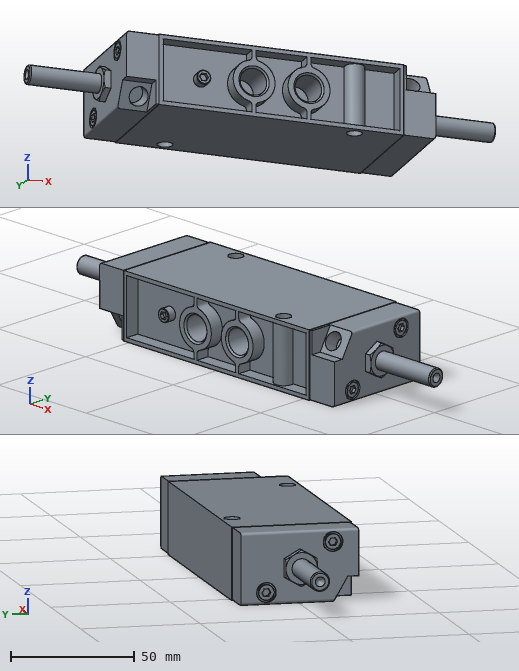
import cadquery as cq
import math

BODY_LENGTH = 106.3
BODY_WIDTH = 50.0
HEIGHT = 30.3
HALF_BODY = BODY_LENGTH / 2
FRONT_Y = -BODY_WIDTH / 2

RECESS_RIM = 1.8
RECESS_DEPTH = 6.5
RECESS_LENGTH = BODY_LENGTH - 2 * RECESS_RIM
RECESS_HEIGHT = HEIGHT - 2 * RECESS_RIM
RECESS_FLOOR_Y = FRONT_Y + RECESS_DEPTH

PORT_X = 12.0
PORT_RING_DIAMETER = 18.2
PORT_BORE_DIAMETER = 11.5
PORT_BORE_DEPTH = 16.2
PORT_CHAMFER = 0.8
WEB_WIDTH = 1.8
WEB_FILLET = 1.8

MOUNT_X = 33.5
MOUNT_Y = 20.0
MOUNT_DIAMETER = 6.5
PILLAR_DIAMETER = 8.5

BUTTON_X = -32.7
BUTTON_DIAMETER = 6.0
BUTTON_LENGTH = 4.0
BUTTON_CHAMFER = 0.3

SOCKET_ACROSS_CORNERS = 3.6
SOCKET_DEPTH = 1.6

CAP_LENGTH = 14.0
CAP_WIDTH = 49.3
CAP_HEIGHT = 29.9
CAP_FILLET = 1.2
CAP_END_X = HALF_BODY + CAP_LENGTH

NOTCH_FLANGE = 1.2
NOTCH_TOP_Z = -4.6
NOTCH_TOP_Y = -20.0
NOTCH_ANGLE = 30.0
PILOT_X = -59.0
PILOT_DIAMETER = 8.0
PILOT_DEPTH = 7.3

SCREW_Y = 14.0
SCREW_Z = 9.9
SCREW_RECESS_DIAMETER = 8.0
SCREW_HEAD_DIAMETER = 6.5
SCREW_RECESS_DEPTH = 1.0

NUT_ACROSS_FLATS = 13.1
NUT_THICKNESS = 3.0
NUT_CHAMFER_ANGLE = 30.0
OVERALL_LENGTH = 202.0
ROD_DIAMETER = 8.0
ROD_CHAMFER = 0.5
ROD_CENTRE_DIAMETER = 4.0
ROD_CENTRE_DEPTH = 2.0


def cylinder_along_y(diameter, x, start_y, length):
    """Cylinder on the level of the part axis, running toward +Y."""
    disc = cq.Workplane("XZ", origin=(x, start_y, 0)).circle(diameter / 2)
    return disc.extrude(-length)


def make_socket(face, direction):
    """Hexagonal socket, cut along (+1) or against (-1) the normal of the face plane."""
    return face.polygon(6, SOCKET_ACROSS_CORNERS).extrude(direction * SOCKET_DEPTH)


def make_recess():
    """Space cut from the front face, with rings, webs and pillar left standing."""
    recess = cq.Workplane("XY").box(RECESS_LENGTH, RECESS_DEPTH, RECESS_HEIGHT)
    recess = recess.translate((0, FRONT_Y + RECESS_DEPTH / 2, 0))
    pillar = cq.Workplane("XY").center(MOUNT_X, -MOUNT_Y).circle(PILLAR_DIAMETER / 2)
    recess = recess.cut(pillar.extrude(HEIGHT / 2, both=True))
    for x in (-PORT_X, PORT_X):
        web = cq.Workplane("XY").box(WEB_WIDTH, RECESS_DEPTH, HEIGHT)
        web = web.translate((x, FRONT_Y + RECESS_DEPTH / 2, 0))
        ring = cylinder_along_y(PORT_RING_DIAMETER, x, FRONT_Y, RECESS_DEPTH)
        recess = recess.cut(round_web_joints(ring.union(web)))
    return recess


def round_web_joints(ring_and_web):
    """Fillet the four inside corners where a web meets its ring."""
    joint_z = math.sqrt(PORT_RING_DIAMETER ** 2 - WEB_WIDTH ** 2) / 2
    margin = 0.2
    reach = joint_z + margin
    joints = cq.selectors.BoxSelector((-BODY_LENGTH, FRONT_Y + margin, -reach),
                                      (BODY_LENGTH, RECESS_FLOOR_Y - margin, reach))
    return ring_and_web.edges("|Y").edges(joints).fillet(WEB_FILLET)


def make_body():
    body = cq.Workplane("XY").box(BODY_LENGTH, BODY_WIDTH, HEIGHT).cut(make_recess())
    for x in (-PORT_X, PORT_X):
        body = body.cut(cylinder_along_y(PORT_BORE_DIAMETER, x, FRONT_Y, PORT_BORE_DEPTH))
        bore_radius = PORT_BORE_DIAMETER / 2
        mouth = cq.Solid.makeCone(bore_radius + PORT_CHAMFER, bore_radius, PORT_CHAMFER,
                                  pnt=cq.Vector(x, FRONT_Y, 0), dir=cq.Vector(0, 1, 0))
        body = body.cut(cq.Workplane(mouth))
    holes = cq.Workplane("XY").pushPoints([(MOUNT_X, -MOUNT_Y), (-MOUNT_X, MOUNT_Y)])
    body = body.cut(holes.circle(MOUNT_DIAMETER / 2).extrude(HEIGHT / 2, both=True))
    return body.union(make_button())


def make_button():
    tip_y = RECESS_FLOOR_Y - BUTTON_LENGTH
    button = cylinder_along_y(BUTTON_DIAMETER, BUTTON_X, tip_y, BUTTON_LENGTH)
    button = button.faces("<Y").chamfer(BUTTON_CHAMFER)
    return button.cut(make_socket(cq.Workplane("XZ", origin=(BUTTON_X, tip_y, 0)), -1))


def make_notch_and_pilot():
    """Sloped notch at the lower front corner of the left cap, with its pilot port."""
    bottom = -CAP_HEIGHT / 2
    slope_height = NOTCH_TOP_Z - bottom
    slope_width = slope_height * math.tan(math.radians(NOTCH_ANGLE))
    profile = [
        (FRONT_Y, NOTCH_TOP_Z),
        (NOTCH_TOP_Y, NOTCH_TOP_Z),
        (NOTCH_TOP_Y + slope_width, bottom),
        (FRONT_Y, bottom),
    ]
    notch = cq.Workplane("YZ", origin=(-CAP_END_X, 0, 0)).polyline(profile).close()
    notch = notch.extrude(CAP_LENGTH - NOTCH_FLANGE)
    slope_middle = (PILOT_X, NOTCH_TOP_Y + slope_width / 2, NOTCH_TOP_Z - slope_height / 2)
    angle = math.radians(NOTCH_ANGLE)
    inward = (0, math.cos(angle), math.sin(angle))
    slope = cq.Workplane(cq.Plane(slope_middle, xDir=(1, 0, 0), normal=inward))
    pilot = slope.circle(PILOT_DIAMETER / 2).extrude(PILOT_DEPTH)
    return notch.union(pilot)


def make_screw_space(y, z):
    """Ring-shaped gap around a flush screw head, and the socket in the head."""
    face = cq.Workplane("YZ", origin=(-CAP_END_X, y, z))
    gap = face.circle(SCREW_RECESS_DIAMETER / 2).circle(SCREW_HEAD_DIAMETER / 2)
    gap = gap.extrude(SCREW_RECESS_DEPTH)
    return gap.union(make_socket(face, 1))


def make_nut():
    """Hexagonal nut with corners up and down and its outer corners turned off."""
    corner_diameter = NUT_ACROSS_FLATS / math.cos(math.pi / 6)
    nut = cq.Workplane("YZ", origin=(-CAP_END_X, 0, 0)).polygon(6, corner_diameter)
    nut = nut.extrude(-NUT_THICKNESS).rotate((0, 0, 0), (1, 0, 0), 90)
    face_radius = NUT_ACROSS_FLATS / 2
    cone_radius = face_radius + NUT_THICKNESS / math.tan(math.radians(NUT_CHAMFER_ANGLE))
    cone = cq.Workplane("YZ", origin=(-CAP_END_X - NUT_THICKNESS, 0, 0)).circle(face_radius)
    cone = cone.workplane(offset=NUT_THICKNESS).circle(cone_radius).loft()
    return nut.intersect(cone)


def make_rod():
    """Rod with a chamfered tip and a conical centre hole."""
    tip_x = -OVERALL_LENGTH / 2
    rod = cq.Workplane("YZ", origin=(tip_x, 0, 0)).circle(ROD_DIAMETER / 2)
    rod = rod.extrude(OVERALL_LENGTH / 2 - CAP_END_X).faces("<X").chamfer(ROD_CHAMFER)
    cone = cq.Solid.makeCone(ROD_CENTRE_DIAMETER / 2, 0, ROD_CENTRE_DEPTH,
                             pnt=cq.Vector(tip_x, 0, 0), dir=cq.Vector(1, 0, 0))
    return rod.cut(cq.Workplane(cone))


def make_left_end():
    """Cap with its notch and screws, together with the nut and rod."""
    cap = cq.Workplane("XY").box(CAP_LENGTH, CAP_WIDTH, CAP_HEIGHT)
    cap = cap.translate((-HALF_BODY - CAP_LENGTH / 2, 0, 0))
    cap = cap.faces("<X").edges("|Y").fillet(CAP_FILLET)
    cap = cap.cut(make_notch_and_pilot())
    for side in (-1, 1):
        cap = cap.cut(make_screw_space(side * SCREW_Y, -side * SCREW_Z))
    return cap.union(make_nut()).union(make_rod())


left_end = make_left_end()
right_end = left_end.rotate((0, 0, 0), (0, 1, 0), 180)
result = make_body().union(left_end).union(right_end)